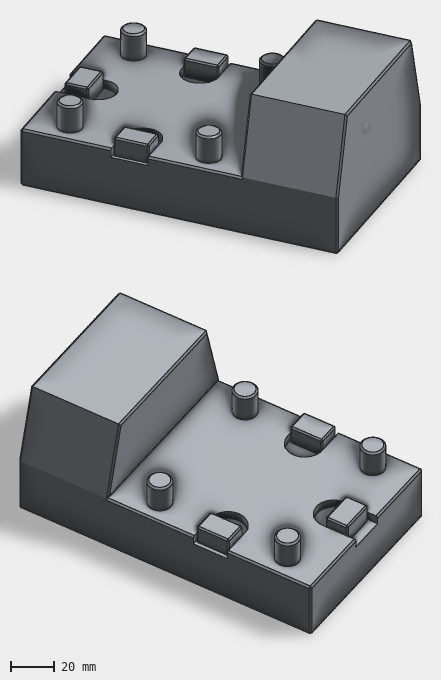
import cadquery as cq
import math

total_length = 160.5
button_height = 0.5
length = total_length - button_height
width = 96.0
deck_height = 30.0
total_height = 69.0
housing_length = 49.0
housing_top_width = 75.1
edge_chamfer = 1.0
housing_front = length - housing_length

pin_diameter = 12.0
pin_top = 44.0
pin_chamfer = 1.0
first_pin_x = 20.0
second_pin_x = 90.0
pin_row_spacing = 73.0

recess_width = 18.6
recess_floor = 25.5
block_width = 17.7
block_depth = 12.0
block_top = 35.1
block_chamfer = 0.8
block_to_recess_end = 10.5
side_block_inset = 2.0
end_block_inset = 5.0
side_recess_x = (first_pin_x + second_pin_x) / 2

button_diameter = 5.8
button_y = -15.4
button_z = 50.2


def housing_prism(profile, start_x, end_x):
    """Extrude a (y, z) profile along X from start_x to end_x."""
    return cq.Workplane("YZ", origin=(start_x, 0, 0)).polyline(profile).close().extrude(end_x - start_x)


def make_body():
    half_width = width / 2
    half_top = housing_top_width / 2
    slope_profile = [
        (-half_width, deck_height),
        (half_width, deck_height),
        (half_top, total_height),
        (-half_top, total_height),
    ]
    full_profile = [(-half_width, 0), (half_width, 0)] + slope_profile[1:] + slope_profile[:1]

    base = cq.Workplane("XY").box(length, width, deck_height, centered=(False, True, False))
    base = base.edges().chamfer(edge_chamfer)

    rear_start = housing_front + edge_chamfer

    rear = housing_prism(full_profile, rear_start, length)
    rear = rear.faces(">X or <Z").edges("not <X").chamfer(edge_chamfer)

    nose = housing_prism(slope_profile, housing_front, rear_start + edge_chamfer)
    nose = nose.faces("<X").edges().chamfer(edge_chamfer)
    return base.union(rear).union(nose)


def make_pin(x, y):
    pin = cq.Workplane("XY", origin=(x, y, deck_height)).circle(pin_diameter / 2)
    return pin.extrude(pin_top - deck_height).faces(">Z").chamfer(pin_chamfer)


def add_clamp(body, edge_point, inward_angle, block_inset):
    """Cut one recess running inward from edge_point and stand its block in it."""

    def place(shape):
        return shape.rotate((0, 0, 0), (0, 0, 1), inward_angle).translate(edge_point)

    recess_radius = recess_width / 2
    recess_length = block_inset + block_depth + block_to_recess_end
    arc_center = recess_length - recess_radius
    recess = (
        cq.Workplane("XY", origin=(0, 0, recess_floor))
        .moveTo(0, -recess_radius)
        .lineTo(arc_center, -recess_radius)
        .threePointArc((recess_length, 0), (arc_center, recess_radius))
        .lineTo(0, recess_radius)
        .close()
        .extrude(deck_height - recess_floor)
    )
    block = (
        cq.Workplane("XY", origin=(block_inset, 0, recess_floor))
        .box(block_depth, block_width, block_top - recess_floor, centered=(False, True, False))
        .edges("|Z or >Z")
        .chamfer(block_chamfer)
    )
    return body.cut(place(recess)).union(place(block))


def make_button():
    """Revolve a shallow spherical cap about an axis parallel to X."""
    button_radius = button_diameter / 2
    sphere_radius = (button_radius**2 + button_height**2) / (2 * button_height)
    half_angle = math.asin(button_radius / sphere_radius) / 2
    mid_arc = (
        button_height - sphere_radius * (1 - math.cos(half_angle)),
        sphere_radius * math.sin(half_angle),
    )
    cap = (
        cq.Workplane("XY", origin=(length, button_y, button_z))
        .lineTo(0, button_radius)
        .threePointArc(mid_arc, (button_height, 0))
        .close()
    )
    return cap.revolve(360, (0, 0, 0), (1, 0, 0))


result = make_body()
for pin_x in (first_pin_x, second_pin_x):
    for pin_y in (-pin_row_spacing / 2, pin_row_spacing / 2):
        result = result.union(make_pin(pin_x, pin_y))

result = add_clamp(result, (0, 0, 0), 0, end_block_inset)
result = add_clamp(result, (side_recess_x, -width / 2, 0), 90, side_block_inset)
result = add_clamp(result, (side_recess_x, width / 2, 0), -90, side_block_inset)
result = result.union(make_button())